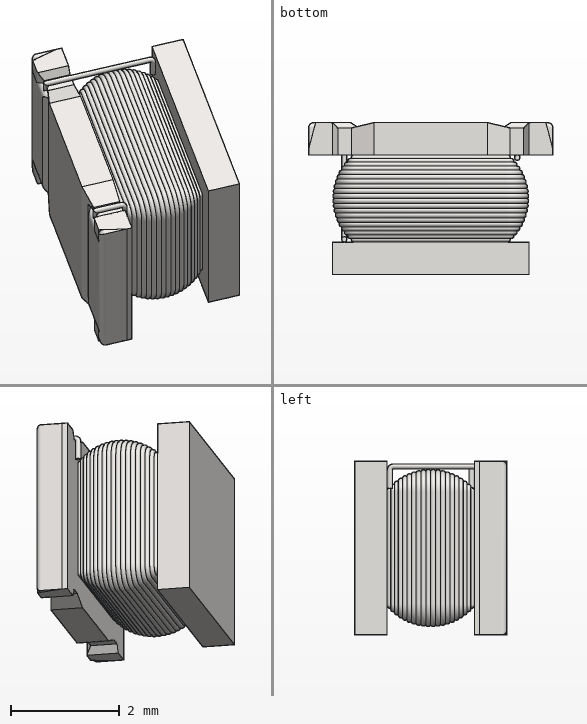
import cadquery as cq
import math

LENGTH = 4.5
DEPTH = 2.8
HEIGHT = 3.2
FRONT = -DEPTH / 2
BACK = DEPTH / 2

FLANGE_THICK = 0.6
REAR_WIDTH = 3.62
BASE_INNER = FRONT + FLANGE_THICK

RELIEF_DEPTH = 0.1
RELIEF_FLOOR = FRONT + RELIEF_DEPTH
PLATEAU_HALF = 1.045
FLOOR_START = 1.462
FLOOR_END = 1.71
POST_START = FLOOR_END + RELIEF_DEPTH
POST_FILLET = 0.12

NOTCH_DEPTH = 0.15
NOTCH_FLOOR = HEIGHT / 2 - NOTCH_DEPTH

WIRE_RADIUS = 0.05
TURNS = 20
GAP = DEPTH - 2 * FLANGE_THICK
COIL_CENTRE = BASE_INNER + GAP / 2
STRAIGHT_X = 1.4
STRAIGHT_Z = 1.045
MIDDLE_BEND = 0.355
END_BEND = 0.02
BARREL_RISE = MIDDLE_BEND - END_BEND
BARREL_HALF = GAP / 2 - WIRE_RADIUS
BARREL_RADIUS = (BARREL_HALF**2 + BARREL_RISE**2) / (2 * BARREL_RISE)
TURN_ANGLE = 2 * math.asin(BARREL_HALF / BARREL_RADIUS) / (TURNS - 1)

LEAD_X = 1.595
LEAD_BEND = 0.068
LEAD_Z = NOTCH_FLOOR + WIRE_RADIUS
LEAD_FRONT = RELIEF_FLOOR
LEAD_FOOT_Z = 1.33
LEAD_COIL_Z = 1.1

TERMINAL_ROUND = 0.1
PAD_FOOT = 1.365
PAD_INNER = 1.475
PAD_TOE = 1.36
LIP_INNER = 1.255
LIP_HALF_HEIGHT = 1.34
LIP_ROUND = 0.05
WEDGE_DEPTH = 0.5
WEDGE_WIDTH = 0.13
SIDES = (1, -1)


def on_side(body, side):
    """Return the +X body itself, or its mirror image for the -X side."""
    return body if side > 0 else body.mirror("YZ")


def ramp_y(x):
    """Y of the ramp between the base plateau and the relief floor."""
    return FRONT + RELIEF_DEPTH * (x - PLATEAU_HALF) / (FLOOR_START - PLATEAU_HALF)


def make_rear_flange():
    flange = cq.Workplane("XY").box(REAR_WIDTH, FLANGE_THICK, HEIGHT)
    return flange.translate((0, BACK - FLANGE_THICK / 2, 0))


def make_notch():
    """Through notch in the top edge of the base, on the +X side."""
    top = HEIGHT / 2
    outline = [(PLATEAU_HALF, top), (FLOOR_START, NOTCH_FLOOR), (FLOOR_END, NOTCH_FLOOR), (POST_START, top)]
    return cq.Workplane("XZ", origin=(0, FRONT, 0)).polyline(outline).close().extrude(-FLANGE_THICK)


def make_base_blank():
    """Base flange with its relief and notches, before the terminals and leads are let in."""
    outline = [
        (0, FRONT),
        (PLATEAU_HALF, FRONT),
        (FLOOR_START, RELIEF_FLOOR),
        (FLOOR_END, RELIEF_FLOOR),
        (POST_START, FRONT),
        (LENGTH / 2, FRONT),
        (LENGTH / 2, BASE_INNER),
        (0, BASE_INNER),
    ]
    half = cq.Workplane("XY").polyline(outline).close().extrude(HEIGHT / 2, both=True)
    post_edge = cq.selectors.NearestToPointSelector((POST_START, FRONT, 0))
    half = half.edges(post_edge).fillet(POST_FILLET)
    notch = make_notch()
    half = half.cut(notch).cut(notch.mirror("XY"))
    return half.union(half.mirror("YZ"))


def barrel_point(radius, angle):
    """Point (corner radius, axial place) at a radius and angle about the centre of the barrel arc."""
    return (MIDDLE_BEND - BARREL_RADIUS + radius * math.cos(angle), radius * math.sin(angle))


def coil_profile():
    """Scalloped section of the winding: corner radius along X, winding axis along Y."""
    half_turn = TURN_ANGLE / 2
    half_overlap = math.sqrt(WIRE_RADIUS**2 - (BARREL_RADIUS * math.sin(half_turn)) ** 2)
    crest_radius = BARREL_RADIUS + WIRE_RADIUS
    root_radius = BARREL_RADIUS * math.cos(half_turn) + half_overlap
    last_crest = (TURNS - 1) * half_turn

    section = cq.Workplane("XY").moveTo(0, -GAP / 2).lineTo(END_BEND, -GAP / 2)
    for turn in range(TURNS - 1):
        angle = turn * TURN_ANGLE - last_crest
        section = section.threePointArc(
            barrel_point(crest_radius, angle), barrel_point(root_radius, angle + half_turn)
        )
    section = section.threePointArc(barrel_point(crest_radius, last_crest), (END_BEND, GAP / 2))
    return section.lineTo(0, GAP / 2).close()


def make_coil():
    """Rounded rectangular winding: a core block, four straight runs and four turned corners."""
    coil = cq.Workplane("XY").box(2 * STRAIGHT_X, GAP, 2 * STRAIGHT_Z)
    end_run = coil_profile().extrude(STRAIGHT_Z, both=True).translate((STRAIGHT_X, 0, 0))
    long_run = coil_profile().extrude(STRAIGHT_X, both=True)
    long_run = long_run.rotate((0, 0, 0), (0, 1, 0), -90).translate((0, 0, STRAIGHT_Z))
    corner = coil_profile().revolve(90, (0, 0), (0, -1)).translate((STRAIGHT_X, 0, STRAIGHT_Z))
    for piece in (end_run, long_run):
        coil = coil.union(piece).union(piece.rotate((0, 0, 0), (0, 1, 0), 180))
    for upper in (corner, corner.mirror("YZ")):
        coil = coil.union(upper).union(upper.mirror("XY"))
    return coil.translate((0, COIL_CENTRE, 0))


def make_lead(side, start_y):
    """Wire that rises beside the coil, runs forward in the notch and turns sharply down to the terminal."""
    corner = LEAD_BEND * (1 - math.sqrt(0.5))
    path = (
        cq.Workplane("YZ", origin=(side * LEAD_X, 0, 0))
        .moveTo(start_y, LEAD_COIL_Z)
        .lineTo(start_y, LEAD_Z - LEAD_BEND)
        .threePointArc((start_y - corner, LEAD_Z - corner), (start_y - LEAD_BEND, LEAD_Z))
        .lineTo(LEAD_FRONT, LEAD_Z)
        .lineTo(LEAD_FRONT, LEAD_FOOT_Z)
    )
    start = cq.Workplane("XY", origin=(side * LEAD_X, start_y, LEAD_COIL_Z))
    return start.circle(WIRE_RADIUS).sweep(path, transition="right")


def make_pad():
    """Solder pad on the relief floor, with a sloped inner flank and rounded top and bottom."""
    outer = LENGTH / 2 - WEDGE_WIDTH
    plan = [
        (outer, FRONT),
        (PAD_INNER, FRONT),
        (PAD_TOE, ramp_y(PAD_TOE)),
        (PAD_TOE, RELIEF_FLOOR),
        (outer, RELIEF_FLOOR),
        (outer + WEDGE_WIDTH * RELIEF_DEPTH / WEDGE_DEPTH, RELIEF_FLOOR),
    ]
    pad = cq.Workplane("XY").polyline(plan).close().extrude(PAD_FOOT, both=True)
    flat_half = PAD_FOOT - TERMINAL_ROUND
    round_y = FRONT + TERMINAL_ROUND * (1 - math.sqrt(0.5))
    round_z = flat_half + TERMINAL_ROUND * math.sqrt(0.5)
    rounded_section = (
        cq.Workplane("YZ")
        .moveTo(FRONT, -flat_half)
        .lineTo(FRONT, flat_half)
        .threePointArc((round_y, round_z), (FRONT + TERMINAL_ROUND, PAD_FOOT))
        .lineTo(FRONT + TERMINAL_ROUND, -PAD_FOOT)
        .threePointArc((round_y, -round_z), (FRONT, -flat_half))
        .close()
        .extrude(LENGTH / 2)
    )
    return pad.intersect(rounded_section)


def make_lip():
    """Inner edge of the terminal, let in flush with the ramp of the base."""
    plan = [
        (FLOOR_START, RELIEF_FLOOR),
        (LIP_INNER, ramp_y(LIP_INNER)),
        (LIP_INNER, RELIEF_FLOOR),
    ]
    lip = cq.Workplane("XY").polyline(plan).close().extrude(LIP_HALF_HEIGHT, both=True)
    return lip.edges("|Y and <X").fillet(LIP_ROUND)


def make_side_wedge():
    """Tapered end plate of the terminal, with sharp edges."""
    end = LENGTH / 2
    plan = [(end - WEDGE_WIDTH, FRONT), (end, FRONT), (end, FRONT + WEDGE_DEPTH)]
    return cq.Workplane("XY").polyline(plan).close().extrude(HEIGHT / 2, both=True)


def round_front_edges(wedge):
    """Round the wedge where its outer, top and bottom sides turn onto the front."""
    return wedge.faces("<Y").edges(">X or >Z or <Z").fillet(TERMINAL_ROUND)


def join_terminal(wedge, side):
    """Join a side wedge to its pad and lip, and place them on one side of the base."""
    return on_side(wedge.union(make_pad()).union(make_lip()), side)


def make_terminal(side):
    return join_terminal(round_front_edges(make_side_wedge()), side)


def make_terminal_seat(side):
    """Recess in the base for a terminal; it reaches the corners that the terminal rounds off."""
    return join_terminal(make_side_wedge(), side)


rear_flange = make_rear_flange()
coil = make_coil()

leads = [
    make_lead(-1, BACK - FLANGE_THICK - WIRE_RADIUS),
    make_lead(1, BASE_INNER + WIRE_RADIUS),
]

terminals = []
for side in SIDES:
    terminal = make_terminal(side)
    for lead in leads:
        terminal = terminal.cut(lead)
    terminals.append(terminal)

base = make_base_blank()
for side in SIDES:
    base = base.cut(make_terminal_seat(side))
for lead in leads:
    base = base.cut(lead)

result = cq.Compound.makeCompound(
    [rear_flange.val(), base.val(), coil.val()]
    + [lead.val() for lead in leads]
    + [terminal.val() for terminal in terminals]
)